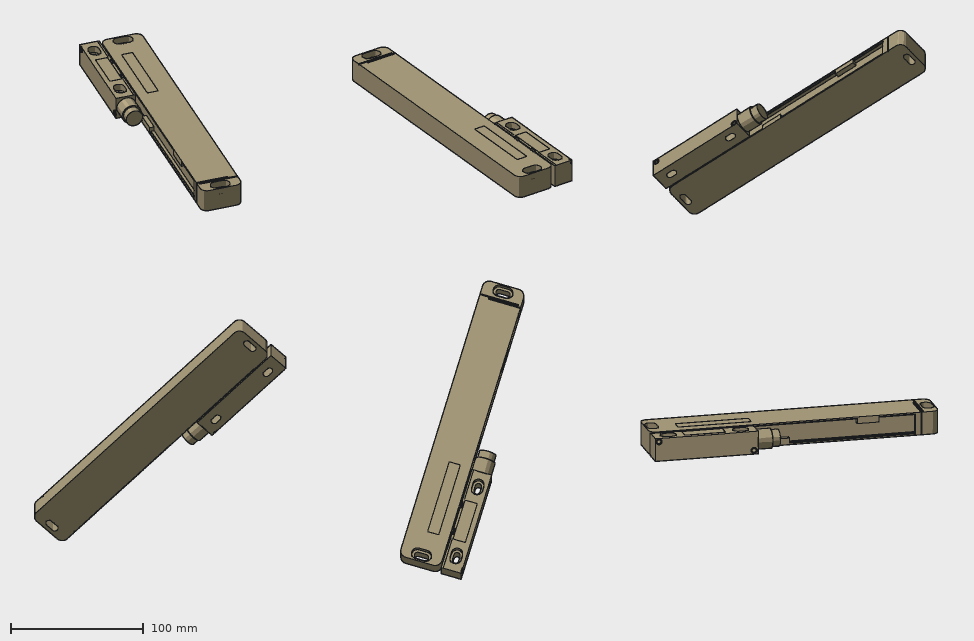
import cadquery as cq

LENGTH = 225.0
DEPTH = 49.0
HEIGHT = 18.0

ALONG_X = 0
ALONG_Y = 90

HOUSING_DEPTH = 32.5
HOUSING_FRONT = DEPTH - HOUSING_DEPTH
HOUSING_MID_Y = HOUSING_FRONT + HOUSING_DEPTH / 2
CORNER_RADIUS = 5.5
MOUNT_INSET = 5.5
MOUNT_SLOT = (11.0, 5.0)
MOUNT_COUNTERBORE = (15.3, 8.8)
HOUSING_COUNTERBORE_DEPTH = 5.5

GROOVE_WIDTH = 0.7
GROOVE_DEPTH = 0.7
SHORT_GROOVE_X = 211.5
SHORT_GROOVE_LENGTH = 25.2
CAP_GROOVE_X = 213.0
CAP_GROOVE_LENGTH = 30.4

WINDOW_END_INSET = 18.2
WINDOW_LENGTH = LENGTH - 2 * WINDOW_END_INSET
WINDOW_DEPTH = 3.5
WINDOW_HEIGHT = 15.5
LEDGE_DEPTH = 1.1
LEDGE_HEIGHT = 0.7
TAB_LENGTH = 17.0
TAB_RISE = 4.0
UPPER_TAB_X = 169.9
LOWER_TAB_X = 100.1

LABEL_DEPTH = 0.11
LABEL_RADIUS = 0.7
HOUSING_LABEL = (57.0, 8.8)
HOUSING_LABEL_CENTER = (52.5, 29.2)
HEAD_LABEL = (31.7, 9.7)

HEAD_LENGTH = 80.0
HEAD_DEPTH = 15.8
LOW_STEP = 0.11
BACK_STRIP_WIDTH = 1.5
PAD_DEPTH = HEAD_DEPTH - BACK_STRIP_WIDTH
LEFT_PAD_END = 22.0
LEFT_RAMP_END = 23.8
RIGHT_RAMP_START = 56.5
RIGHT_PAD_START = 58.0
HEAD_SLOT_XS = (12.0, 68.2)
HEAD_SLOT_Y = 7.5
HEAD_SLOT = (8.3, 4.7)
HEAD_COUNTERBORE = (12.4, 8.5)
HEAD_COUNTERBORE_DEPTH = 5.5
HEAD_LABEL_CENTER = (39.8, 8.8)

PIN_HOLES = ((3.0, 15.3), (77.0, 3.0))
PIN_HOLE_RADIUS = 2.2
PIN_HOLE_CORE_RADIUS = 1.5
PIN_HOLE_RIM_DEPTH = 0.7
PIN_HOLE_DEPTH = 2.0
SCALLOP_XS = (30.0, 51.5)
SCALLOP_RADIUS = 2.5
SCALLOP_DEPTH = 1.1

GLAND_Y = 8.3
GLAND_RADIUS = 7.6
GLAND_LENGTH = 11.7
CABLE_RADIUS = 6.5
CABLE_LENGTH = 6.0


def block(x0, x1, y0, y1, z0, z1):
    """Box between two opposite corners."""
    return cq.Workplane("XY").box(x1 - x0, y1 - y0, z1 - z0, centered=False).translate((x0, y0, z0))


def counterbored_slot(x, y, angle, slot, counterbore, counterbore_depth):
    """Cutter for a through slot with a wider slot sunk into the top face."""
    through = cq.Workplane("XY").center(x, y).slot2D(*slot, angle).extrude(HEIGHT)
    sunk = (
        cq.Workplane("XY", origin=(0, 0, HEIGHT - counterbore_depth))
        .center(x, y)
        .slot2D(*counterbore, angle)
        .extrude(counterbore_depth)
    )
    return through.union(sunk)


def label_recess(center, size, floor_z):
    """Cutter for a rounded rectangular recess that reaches up to the top."""
    return (
        cq.Workplane("XY", origin=(*center, floor_z))
        .rect(*size)
        .extrude(HEIGHT - floor_z)
        .edges("|Z")
        .fillet(LABEL_RADIUS)
    )


def window_cutter():
    """Stepped window in the front wall, less the two tabs."""
    x0 = WINDOW_END_INSET
    x1 = x0 + WINDOW_LENGTH
    z0 = (HEIGHT - WINDOW_HEIGHT) / 2
    z1 = z0 + WINDOW_HEIGHT
    ledge_y = HOUSING_FRONT + LEDGE_DEPTH
    floor_y = HOUSING_FRONT + WINDOW_DEPTH
    opening = block(x0, x1, HOUSING_FRONT, ledge_y, z0, z1)
    inner = block(x0, x1, ledge_y, floor_y, z0 + LEDGE_HEIGHT, z1 - LEDGE_HEIGHT)
    half_tab = TAB_LENGTH / 2
    upper_tab = block(
        UPPER_TAB_X - half_tab, UPPER_TAB_X + half_tab, HOUSING_FRONT, floor_y, z1 - TAB_RISE, z1
    )
    lower_tab = block(
        LOWER_TAB_X - half_tab, LOWER_TAB_X + half_tab, HOUSING_FRONT, floor_y, z0, z0 + TAB_RISE
    )
    return opening.union(inner).cut(upper_tab).cut(lower_tab)


def groove_cutters():
    """Groove beside the end cap, and a shorter one that turns down the front face."""
    half = GROOVE_WIDTH / 2
    floor_z = HEIGHT - GROOVE_DEPTH
    cap_groove = block(
        CAP_GROOVE_X - half, CAP_GROOVE_X + half, DEPTH - CAP_GROOVE_LENGTH, DEPTH, floor_z, HEIGHT
    )
    x0 = SHORT_GROOVE_X - half
    x1 = SHORT_GROOVE_X + half
    top_run = block(x0, x1, HOUSING_FRONT, HOUSING_FRONT + SHORT_GROOVE_LENGTH, floor_z, HEIGHT)
    front_run = block(x0, x1, HOUSING_FRONT, HOUSING_FRONT + GROOVE_DEPTH, 0, HEIGHT)
    return cap_groove.union(top_run).union(front_run)


def make_housing():
    body = block(0, LENGTH, HOUSING_FRONT, DEPTH, 0, HEIGHT).edges("|Z").fillet(CORNER_RADIUS)
    for x in (MOUNT_INSET, LENGTH - MOUNT_INSET):
        body = body.cut(
            counterbored_slot(
                x, HOUSING_MID_Y, ALONG_Y, MOUNT_SLOT, MOUNT_COUNTERBORE, HOUSING_COUNTERBORE_DEPTH
            )
        )
    body = body.cut(label_recess(HOUSING_LABEL_CENTER, HOUSING_LABEL, HEIGHT - LABEL_DEPTH))
    return body.cut(window_cutter()).cut(groove_cutters())


def pin_hole(x, z):
    """Cutter for a short cylindrical rim with a smaller cone behind it, sunk into the front face."""
    profile = (
        cq.Workplane("XY")
        .polyline(
            [
                (0, 0),
                (PIN_HOLE_RADIUS, 0),
                (PIN_HOLE_RADIUS, PIN_HOLE_RIM_DEPTH),
                (PIN_HOLE_CORE_RADIUS, PIN_HOLE_RIM_DEPTH),
                (0, PIN_HOLE_DEPTH),
            ]
        )
        .close()
    )
    return profile.revolve(360, (0, 0), (0, 1)).translate((x, 0, z))


def top_relief():
    """Cutter that lowers the back strip and the middle, leaving a pad at each end."""
    floor_z = HEIGHT - LOW_STEP
    strip = block(0, HEAD_LENGTH, PAD_DEPTH, HEAD_DEPTH, floor_z, HEIGHT)
    middle = (
        cq.Workplane("XZ")
        .polyline(
            [
                (LEFT_PAD_END, HEIGHT),
                (LEFT_RAMP_END, floor_z),
                (RIGHT_RAMP_START, floor_z),
                (RIGHT_PAD_START, HEIGHT),
            ]
        )
        .close()
        .extrude(-PAD_DEPTH)
    )
    return strip.union(middle)


def make_head():
    low_z = HEIGHT - LOW_STEP
    body = block(0, HEAD_LENGTH, 0, HEAD_DEPTH, 0, HEIGHT).cut(top_relief())
    for x in HEAD_SLOT_XS:
        body = body.cut(
            counterbored_slot(
                x, HEAD_SLOT_Y, ALONG_X, HEAD_SLOT, HEAD_COUNTERBORE, HEAD_COUNTERBORE_DEPTH
            )
        )
    body = body.cut(label_recess(HEAD_LABEL_CENTER, HEAD_LABEL, low_z - LABEL_DEPTH))
    for x, z in PIN_HOLES:
        body = body.cut(pin_hole(x, z))
    for x in SCALLOP_XS:
        scallop = (
            cq.Workplane("XZ", origin=(x, HEAD_DEPTH, low_z))
            .circle(SCALLOP_RADIUS)
            .extrude(SCALLOP_DEPTH)
        )
        body = body.cut(scallop)
    gland = (
        cq.Workplane("YZ", origin=(HEAD_LENGTH, GLAND_Y, HEIGHT / 2))
        .circle(GLAND_RADIUS)
        .extrude(GLAND_LENGTH)
        .faces(">X")
        .workplane()
        .circle(CABLE_RADIUS)
        .extrude(CABLE_LENGTH)
    )
    return body.union(gland)


housing = make_housing()
head = make_head()

result = cq.Compound.makeCompound([housing.val(), head.val()])